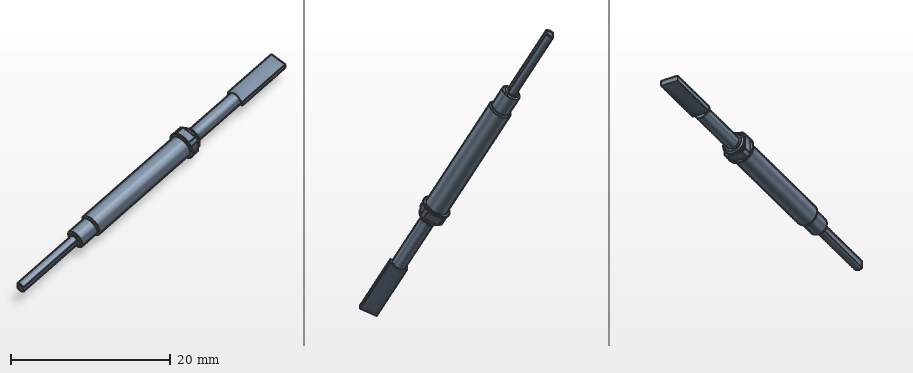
import cadquery as cq

total_length = 48.0
blade_end_y = total_length / 2
pin_end_y = -total_length / 2

blade_length = 8.0
shaft_length = 7.95
collar_length = 1.85
flange_thickness = 0.2
body_length = 17.0
nose_length = 2.9

blade_width = 2.5
blade_thickness = 0.75
shaft_diameter = 1.85

collar_lead_length = 0.6
collar_chamfer = 0.25
collar_corner_cut = 0.45

flange_diameter = 3.75
body_diameter = 3.0
body_chamfer = 0.2
nose_diameter = 2.5
nose_chamfer_radial = 0.3
nose_chamfer_axial = 0.15

pin_diameter = 1.4
pin_width = 1.0
cup_diameter = 0.95

shaft_top_y = blade_end_y - blade_length
collar_top_y = shaft_top_y - shaft_length
flange_top_y = collar_top_y - collar_length
body_top_y = flange_top_y - flange_thickness
nose_top_y = body_top_y - body_length
nose_end_y = nose_top_y - nose_length


def section_at(y):
    """Workplane across the axis whose extrusions run toward -Y."""
    return cq.Workplane("XZ", origin=(0, y, 0))


def rod(diameter, top_y, bottom_y):
    return section_at(top_y).circle(diameter / 2).extrude(top_y - bottom_y)


def flatted_rod(diameter, width, height, top_y, bottom_y):
    """Round rod cut down to a width along X and a height along Z."""
    envelope = section_at(top_y).rect(width, height).extrude(top_y - bottom_y)
    return rod(diameter, top_y, bottom_y).intersect(envelope)


def make_collar():
    square_top_y = collar_top_y - collar_lead_length
    lead = rod(body_diameter, collar_top_y, square_top_y).faces(">Y").chamfer(collar_chamfer)
    square = (
        section_at(square_top_y)
        .rect(body_diameter, body_diameter)
        .extrude(square_top_y - flange_top_y)
        .edges("|Y")
        .chamfer(collar_corner_cut)
    )
    return lead.union(square)


def make_nose():
    """Stepped nose whose end has an unequal bevel."""
    radius = nose_diameter / 2
    return (
        cq.Workplane("XY")
        .moveTo(0, nose_top_y)
        .lineTo(radius, nose_top_y)
        .lineTo(radius, nose_end_y + nose_chamfer_axial)
        .lineTo(radius - nose_chamfer_radial, nose_end_y)
        .lineTo(0, nose_end_y)
        .close()
        .revolve(360, (0, 0, 0), (0, 1, 0))
    )


def make_pin():
    pin = flatted_rod(pin_diameter, pin_width, pin_diameter, nose_end_y, pin_end_y)
    cup_radius = cup_diameter / 2
    cup = cq.Workplane(cq.Solid.makeCone(
        cup_radius, 0, cup_radius, cq.Vector(0, pin_end_y, 0), cq.Vector(0, 1, 0)
    ))
    return pin.cut(cup)


blade = flatted_rod(blade_width, blade_width, blade_thickness, blade_end_y, shaft_top_y)
shaft = rod(shaft_diameter, shaft_top_y, collar_top_y)
flange = rod(flange_diameter, flange_top_y, body_top_y)
body = rod(body_diameter, body_top_y, nose_top_y).faces("<Y").chamfer(body_chamfer)

result = (
    blade.union(shaft)
    .union(make_collar())
    .union(flange)
    .union(body)
    .union(make_nose())
    .union(make_pin())
)